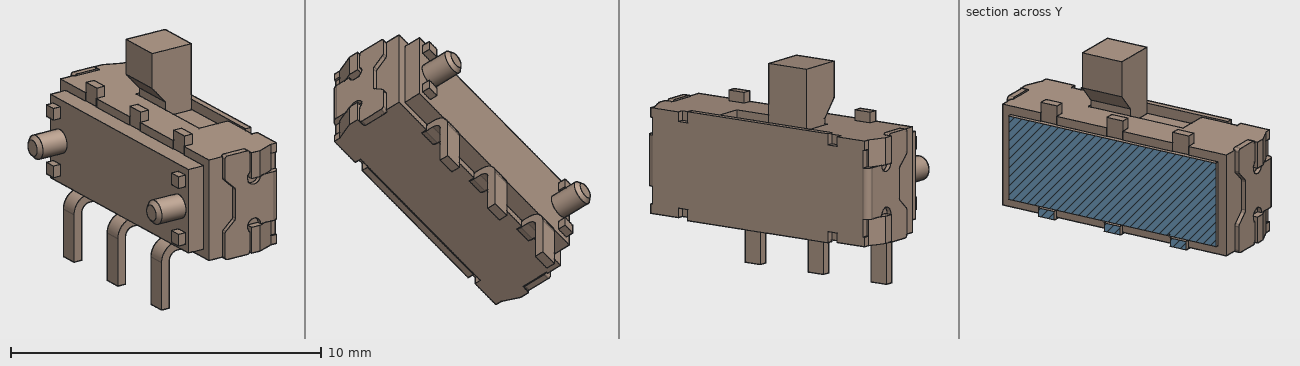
import cadquery as cq
import math


total_height = 7.5

body_width = 8.5
body_height = 3.49
body_front = 2.64
base_width = 7.88
base_height = 2.9
base_front = 3.23

sheet = 0.22
cover_bend = 0.21
cover_width = 8.8
cover_height = 3.6
cover_corner = 0.1
wing_back = 1.14
wing_front = 2.115
wing_neck = 1.71
upper_wing_root = 0.59
lower_wing_root = -0.48
upper_wing_tip = 0.98
lower_wing_tip = -0.84
relief_radius = 0.25
relief_depth = 0.98
back_plate_width = 5.58

tab_inner = 3.15
tab_bottom = 1.43
lug_reach = 4.5
lug_slope_end = 0.81
lug_bottom = 0.85

slot_width = 3.6
slot_front = 1.35
slot_floor = 1.45
slider_left = -1.76
slider_width = 1.5
slider_back = 0.24
slider_front = 1.77
slider_neck_front = 1.25
slider_slope_bottom = 1.94
slider_slope_top = 2.54
slider_top = total_height / 2

pitch = 2.5
terminal_width = 0.61
terminal_thickness = 0.31
terminal_back = 2.3
stub_top = 2.1
leg_top = -1.49
leg_front = 3.5
leg_end = -total_height / 2
bend_radius = 0.6

post_spacing = 6.795
post_radius = 0.405
post_tip = 4.3
post_chamfer = 0.135
standoff_size = 0.405
standoff_spacing_x = 7.15
standoff_spacing_z = 2.0
standoff_front = 3.5

half_body = body_width / 2
half_height = body_height / 2


def block(x_min, x_max, back, front, z_min, z_max):
    """Box between two distances from the back of the part."""
    size = (x_max - x_min, front - back, z_max - z_min)
    return cq.Workplane("XY").box(*size, centered=False).translate((x_min, -front, z_min))


def centered_block(width, back, front, height):
    return block(-width / 2, width / 2, back, front, -height / 2, height / 2)


def side_profile(points, x_min, width):
    """Extrude a (distance from back, Z) outline along X."""
    outline = [(-depth, z) for depth, z in points]
    return cq.Workplane("YZ", origin=(x_min, 0, 0)).polyline(outline).close().extrude(width)


def with_mirrors(shape, plane):
    return shape.union(shape.mirror(plane))


def make_body():
    body = centered_block(body_width, sheet, body_front, body_height)
    body = body.union(centered_block(base_width, body_front, base_front, base_height))
    tab = block(tab_inner, half_body, 0, sheet, tab_bottom, half_height)
    lug = (
        cq.Workplane("XY", origin=(0, 0, lug_bottom))
        .moveTo(tab_inner, -sheet)
        .lineTo(half_body, -sheet)
        .lineTo(lug_reach, -lug_slope_end)
        .lineTo(lug_reach, -wing_back)
        .lineTo(tab_inner, -wing_back)
        .close()
        .extrude(half_height - lug_bottom)
    )
    corners = with_mirrors(with_mirrors(tab.union(lug), "XY"), "YZ")
    slot = block(-slot_width / 2, slot_width / 2, sheet, slot_front, slot_floor, half_height)
    return body.union(corners).cut(slot)


def make_end_plate():
    """Cover plate on the +X end, with the relief holes to cut from it."""
    inner_face = cover_width / 2 - sheet
    top = cover_height / 2
    wing_outline = [
        (wing_back, top),
        (wing_front, top),
        (wing_front, upper_wing_tip),
        (wing_neck, upper_wing_root),
        (wing_neck, lower_wing_root),
        (wing_front, lower_wing_tip),
        (wing_front, -top),
        (wing_back, -top),
    ]
    wings = side_profile(wing_outline, inner_face, sheet).edges("|X").fillet(cover_corner)
    band = block(inner_face, cover_width / 2, 0, wing_back + cover_corner, -lug_bottom, lug_bottom)
    band = band.edges("|Z and >X and >Y").fillet(cover_bend)
    reliefs = (
        cq.Workplane("YZ", origin=(half_body, 0, 0))
        .pushPoints([(-relief_depth, lug_bottom), (-relief_depth, -lug_bottom)])
        .circle(relief_radius)
        .extrude(sheet)
    )
    lug_space = block(half_body, lug_reach, sheet, wing_back, lug_bottom, half_height)
    reliefs = reliefs.cut(with_mirrors(lug_space, "XY"))
    return wings.union(band), reliefs


def make_slider():
    outline = [
        (slider_back, slot_floor),
        (slider_back, slider_top),
        (slider_front, slider_top),
        (slider_front, slider_slope_top),
        (slider_neck_front, slider_slope_bottom),
        (slider_neck_front, slot_floor),
    ]
    return side_profile(outline, slider_left, slider_width)


def make_back_plate():
    narrow = centered_block(cover_width - 2 * sheet, 0, sheet, 2 * tab_bottom)
    return narrow.union(centered_block(back_plate_width, 0, sheet, cover_height))


def make_terminal(x):
    """Straight stub on top and bent leg below, with the notch that bares the stub."""
    left = x - terminal_width / 2
    right = x + terminal_width / 2
    stub_front = terminal_back + terminal_thickness
    stub = block(left, right, terminal_back, stub_front, 0, stub_top)
    notch = block(left, right, stub_front, body_front, base_height / 2, half_height)

    inner_radius = bend_radius - terminal_thickness
    bend_y = bend_radius - leg_front
    bend_z = leg_top - bend_radius
    leg_bottom = leg_top - terminal_thickness
    leg_back = leg_front - terminal_thickness
    diagonal = math.sqrt(0.5)
    inner_offset = inner_radius * diagonal
    outer_offset = bend_radius * diagonal
    heel_offset = terminal_thickness * diagonal
    leg = (
        cq.Workplane("YZ", origin=(left, 0, 0))
        .moveTo(-terminal_back, leg_top)
        .lineTo(bend_y, leg_top)
        .threePointArc((bend_y - outer_offset, bend_z + outer_offset), (-leg_front, bend_z))
        .lineTo(-leg_front, leg_end)
        .lineTo(-leg_back, leg_end)
        .lineTo(-leg_back, bend_z)
        .threePointArc((bend_y - inner_offset, bend_z + inner_offset), (bend_y, leg_bottom))
        .lineTo(-stub_front, leg_bottom)
        .threePointArc((-stub_front + heel_offset, leg_top - heel_offset), (-terminal_back, leg_top))
        .close()
        .extrude(terminal_width)
    )
    return stub.union(leg), notch


def make_posts():
    return (
        cq.Workplane("XZ", origin=(0, -base_front, 0))
        .rarray(post_spacing, 0.09, 2, 1)
        .circle(post_radius)
        .extrude(post_tip - base_front)
        .faces("<Y")
        .chamfer(post_chamfer)
    )


def make_standoffs():
    return (
        cq.Workplane("XZ", origin=(0, -base_front, 0))
        .rarray(standoff_spacing_x, standoff_spacing_z, 2, 2)
        .rect(standoff_size, standoff_size)
        .extrude(standoff_front - base_front)
    )


end_plate, reliefs = make_end_plate()
result = make_body().union(with_mirrors(end_plate, "YZ")).cut(with_mirrors(reliefs, "YZ"))
result = result.union(make_back_plate()).union(make_slider())
for terminal_x in (-pitch, 0, pitch):
    terminal, notch = make_terminal(terminal_x)
    result = result.cut(notch).union(terminal)
result = result.union(make_posts()).union(make_standoffs())